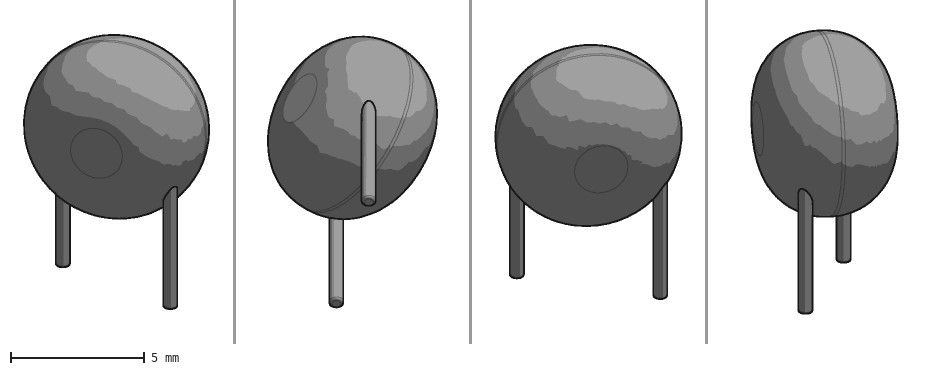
import cadquery as cq

body_diameter = 7.0
body_thickness = 5.1
rim_band_width = 0.13
edge_radius = (body_thickness - rim_band_width) / 2

lead_diameter = 0.54
lead_spacing_x = 5.0
lead_spacing_y = 2.5
lead_tip_radius = 0.1
total_height = 10.03

body_center_z = body_diameter / 2
lead_tip_z = body_diameter - total_height


def make_body():
    """Disc with both circular edges fully rounded, leaving a small flat on each face."""
    return (
        cq.Workplane("XZ", origin=(0, body_thickness / 2, body_center_z))
        .circle(body_diameter / 2)
        .extrude(body_thickness)
        .edges("%CIRCLE")
        .fillet(edge_radius)
    )


def make_lead(x, y):
    """Round wire with a rounded tip, ending inside the body at its mid-height."""
    return (
        cq.Workplane("XY", origin=(x, y, lead_tip_z))
        .circle(lead_diameter / 2)
        .extrude(body_center_z - lead_tip_z)
        .faces("<Z")
        .edges()
        .fillet(lead_tip_radius)
    )


result = make_body()
for side in (-1, 1):
    lead = make_lead(side * lead_spacing_x / 2, -side * lead_spacing_y / 2)
    result = result.union(lead)